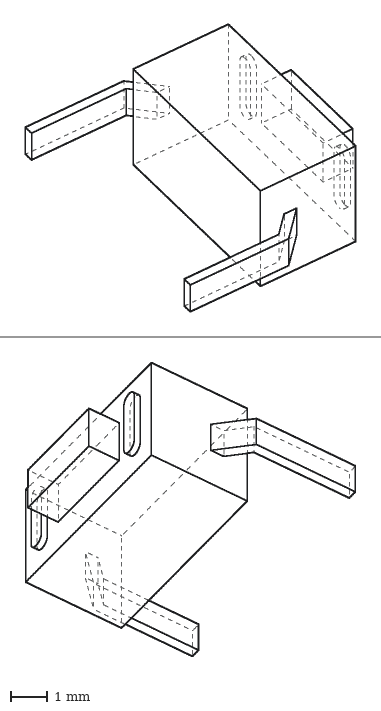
import cadquery as cq
import math

overall_width = 7.92
overall_depth = 7.21
body_width = 6.115
body_depth = 3.21
body_height = 3.55
body_back = body_depth / 2

button_width = 2.96
button_height = 1.45
button_travel = 1.005

pad_width = 0.5
pad_length = 2.22
pad_thickness = 0.2
pad_offset = 2.26

lead_thickness = 0.3
lead_height = 1.0
lead_straight_length = 3.31
lead_bend_angle = 45.0


def make_body():
    return cq.Workplane("XY").box(body_width, body_depth, body_height)


def make_button():
    return (
        cq.Workplane("XY")
        .box(button_width, button_travel, button_height, centered=(True, False, True))
        .translate((0, body_back, 0))
    )


def make_pads():
    return (
        cq.Workplane("XZ", origin=(0, body_back, 0))
        .pushPoints([(-pad_offset, 0), (pad_offset, 0)])
        .slot2D(pad_length, pad_width, 90)
        .extrude(-pad_thickness)
    )


def make_right_lead():
    """Terminal leaving the side wall at an angle, then running straight toward -Y."""
    wall_x = body_width / 2
    outer_x = overall_width / 2
    inner_x = outer_x - lead_thickness
    tip_y = body_back + button_travel - overall_depth
    slope = math.tan(math.radians(lead_bend_angle))

    outer_bend_y = tip_y + lead_straight_length
    inner_bend_y = outer_bend_y - lead_thickness * math.tan(math.radians(lead_bend_angle / 2))
    outline = [
        (wall_x, outer_bend_y + (outer_x - wall_x) * slope),
        (outer_x, outer_bend_y),
        (outer_x, tip_y),
        (inner_x, tip_y),
        (inner_x, inner_bend_y),
        (wall_x, inner_bend_y + (inner_x - wall_x) * slope),
    ]
    return cq.Workplane("XY").polyline(outline).close().extrude(lead_height / 2, both=True)


right_lead = make_right_lead()
left_lead = right_lead.mirror("YZ")

result = make_body().union(make_button()).union(make_pads()).union(right_lead).union(left_lead)